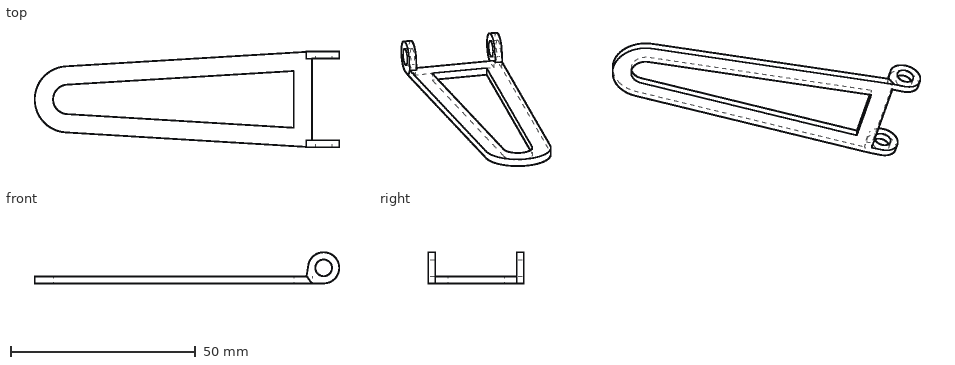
import cadquery as cq
import math

length = 82.4
width = 26.0
thickness = 2.0
rim = 5.0
tip_radius = 9.0
frame_end = 75.1

lug_height = 8.5
lug_thickness = 2.0
lug_hole_diameter = 4.45
lug_heel = 73.5

lug_radius = lug_height / 2
lug_center_x = length - lug_radius

half_width = width / 2
side_run = frame_end - tip_radius
side_angle = math.atan2(half_width, side_run) - math.asin(tip_radius / math.hypot(side_run, half_width))


def tapered_outline(radius, end_x, height):
    """Solid with a round tip centred at X = tip_radius and tangent sides widening to end_x."""
    tangent_x = tip_radius - radius * math.sin(side_angle)
    tangent_y = radius * math.cos(side_angle)
    end_y = tangent_y + (end_x - tangent_x) * math.tan(side_angle)
    return (
        cq.Workplane("XY")
        .moveTo(end_x, -end_y)
        .lineTo(end_x, end_y)
        .lineTo(tangent_x, tangent_y)
        .threePointArc((tip_radius - radius, 0), (tangent_x, -tangent_y))
        .close()
        .extrude(height)
    )


def lug(outer_y):
    """Eye with a tangent back, a chamfered heel and a flat foot, extruded toward -Y from outer_y."""
    heel_dx = lug_heel - lug_center_x
    heel_dz = thickness - lug_radius
    heel_direction = math.atan2(heel_dz, heel_dx)
    tangent_angle = heel_direction - math.acos(lug_radius / math.hypot(heel_dx, heel_dz))
    back_x = lug_center_x + lug_radius * math.cos(tangent_angle)
    back_z = lug_radius + lug_radius * math.sin(tangent_angle)
    eye = (
        cq.Workplane("XZ", origin=(0, outer_y, 0))
        .moveTo(lug_heel, thickness)
        .lineTo(back_x, back_z)
        .threePointArc((length, lug_radius), (lug_center_x, 0))
        .lineTo(frame_end, 0)
        .close()
        .extrude(lug_thickness)
    )
    hole = (
        cq.Workplane("XZ", origin=(0, outer_y, 0))
        .center(lug_center_x, lug_radius)
        .circle(lug_hole_diameter / 2)
        .extrude(lug_thickness)
    )
    return eye.cut(hole)


frame = tapered_outline(tip_radius, frame_end, thickness)
window = tapered_outline(tip_radius - rim, frame_end - rim, thickness)
result = frame.cut(window)

for outer_y in (half_width, lug_thickness - half_width):
    result = result.union(lug(outer_y))